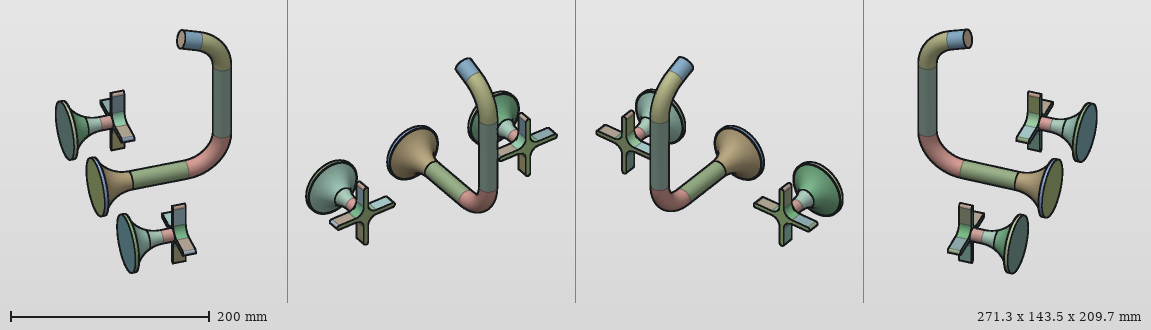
import cadquery as cq
import math

overall_width = 271.3
handle_span = 71.4
handle_offset = (overall_width - handle_span) / 2

plate_radius = 30.0
plate_thickness = 4.0
flare_foot_radius = 29.0
flare_end = 37.0
split_height = 22.2

stem_radius = 7.0
cross_start = 49.0
cross_thickness = 13.3
arm_width = 5.5
arm_root = 12.8

pipe_radius = 9.5
spout_reach = 143.5
bend_radius = 38.3
lower_bend_start = spout_reach - pipe_radius - bend_radius
riser_top = 122.5
outlet_bend_angle = 70.0
outlet_length = 19.3


def flare_radius(neck_radius, height):
    """Radius of the circular flare, which is tangent to the neck at flare_end."""
    rise = flare_end - plate_thickness
    spread = flare_foot_radius - neck_radius
    arc_radius = (spread**2 + rise**2) / (2 * spread)
    return neck_radius + arc_radius - math.sqrt(arc_radius**2 - (flare_end - height) ** 2)


def flare_point(neck_radius, height):
    return (flare_radius(neck_radius, height), height)


def revolve_about_y(profile):
    return profile.close().revolve(360, (0, 0, 0), (0, 1, 0))


def make_base(neck_radius, top):
    """Round plate with a concave flare that is cut off flat at the given height."""
    middle = (plate_thickness + top) / 2
    profile = (
        cq.Workplane("XY")
        .lineTo(plate_radius, 0)
        .lineTo(plate_radius, plate_thickness)
        .lineTo(flare_foot_radius, plate_thickness)
        .threePointArc(flare_point(neck_radius, middle), flare_point(neck_radius, top))
        .lineTo(0, top)
    )
    return revolve_about_y(profile)


def make_stem():
    """Upper part of the flare and the straight neck below the cross."""
    middle = (split_height + flare_end) / 2
    profile = (
        cq.Workplane("XY")
        .moveTo(0, split_height)
        .lineTo(*flare_point(stem_radius, split_height))
        .threePointArc(flare_point(stem_radius, middle), (stem_radius, flare_end))
        .lineTo(stem_radius, cross_start)
        .lineTo(0, cross_start)
    )
    return revolve_about_y(profile)


def make_cross():
    """Four arms with half-round tips and concave fillets in the corners between them."""
    half_width = arm_width / 2
    half_span = handle_span / 2
    shoulder = half_span - half_width
    fillet_radius = arm_root - half_width
    fillet_middle = arm_root - fillet_radius * math.sqrt(0.5)

    outline = cq.Workplane("XZ", origin=(0, cross_start, 0)).moveTo(shoulder, -half_width)
    for quarter in range(4):
        angle = math.radians(90 * quarter)

        def turned(x, z):
            return (x * math.cos(angle) - z * math.sin(angle), x * math.sin(angle) + z * math.cos(angle))

        outline = (
            outline.threePointArc(turned(half_span, 0), turned(shoulder, half_width))
            .lineTo(*turned(arm_root, half_width))
            .threePointArc(turned(fillet_middle, fillet_middle), turned(half_width, arm_root))
            .lineTo(*turned(half_width, shoulder))
        )
    return outline.close().extrude(-cross_thickness)


def make_handle():
    return make_stem().union(make_cross())


def make_spout():
    """Round pipe: out of the base, up the riser, then over to a square-cut outlet."""
    riser_y = lower_bend_start + bend_radius
    half_turn = math.radians(outlet_bend_angle / 2)
    full_turn = math.radians(outlet_bend_angle)

    def outlet_bend_point(turn):
        return (
            riser_y - bend_radius * (1 - math.cos(turn)),
            riser_top + bend_radius * math.sin(turn),
        )

    bend_end = outlet_bend_point(full_turn)
    outlet = (
        bend_end[0] - outlet_length * math.sin(full_turn),
        bend_end[1] + outlet_length * math.cos(full_turn),
    )
    diagonal = bend_radius * math.sqrt(0.5)
    path = (
        cq.Workplane("YZ")
        .moveTo(flare_end, 0)
        .lineTo(lower_bend_start, 0)
        .threePointArc((lower_bend_start + diagonal, bend_radius - diagonal), (riser_y, bend_radius))
        .lineTo(riser_y, riser_top)
        .threePointArc(outlet_bend_point(half_turn), bend_end)
        .lineTo(*outlet)
    )
    return cq.Workplane("XZ", origin=(0, flare_end, 0)).circle(pipe_radius).sweep(path)


spout_base = make_base(pipe_radius, flare_end)
spout = make_spout()

handle_bases = []
handles = []
for side in (-1, 1):
    place = (side * handle_offset, 0, 0)
    handle_bases.append(make_base(stem_radius, split_height).translate(place).val())
    handles.append(make_handle().translate(place).val())

result = cq.Compound.makeCompound([spout_base.val(), spout.val(), *handle_bases, *handles])